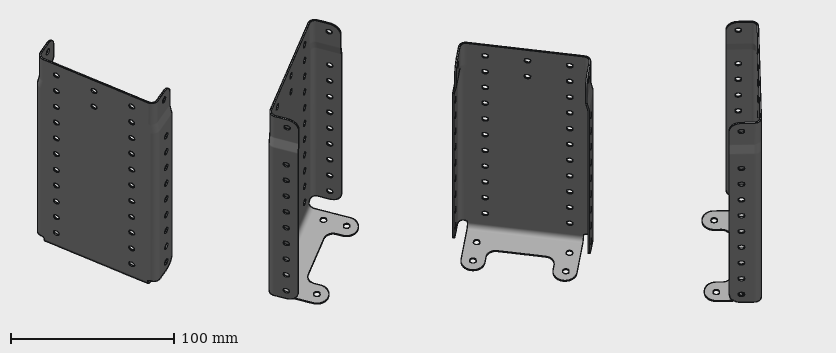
import cadquery as cq
import math

WIDTH = 85.0
DEPTH = 35.0
HEIGHT = 175.0
SHEET = 1.0
BEND_INNER_R = 3.5
BEND_OUTER_R = BEND_INNER_R + SHEET

WALL_DEPTH = 20.0
WALL_BOTTOM = 6.5
WALL_CORNER_R = 7.5
STEP_IN = 1.5
STEP_TOP = HEIGHT - 20.3
STEP_BOTTOM = HEIGHT - 27.6
STEP_ANGLE = math.atan2(STEP_IN, STEP_TOP - STEP_BOTTOM)

FLANGE_WIDTH = 72.0
EAR_WIDTH = 14.9
EAR_R = EAR_WIDTH / 2
NOTCH_FLOOR = 17.5
NOTCH_R = 6.0
RELIEF_R = 2.0

HOLE_D = 4.0
BASE_ROWS = 11
BASE_ROW_SPAN = 150.0
HOLE_PITCH = BASE_ROW_SPAN / (BASE_ROWS - 1)
BASE_TOP_ROW = HEIGHT - 10.0
BASE_COLUMN_SPAN = 52.5
COLUMN_FROM_LEFT_WALL = 15.0
BASE_LEFT_COLUMN = COLUMN_FROM_LEFT_WALL - WIDTH / 2
MIDDLE_COLUMN_ROWS = 2
WALL_ROWS = 9
WALL_HOLE_Y = 12.5
WALL_LOWEST_HOLE = WALL_BOTTOM + WALL_CORNER_R
WALL_TOP_HOLE = HEIGHT - WALL_CORNER_R
FLANGE_HOLE_XS = (-29.0, 28.5)
FLANGE_ROWS = 2


def rounded_body(inset, bottom, top, upper_r, lower_r, corner_r):
    """Solid block bounded by the stepped wall faces, `inset` inside the outer sheet surface."""
    wide = WIDTH / 2 - inset
    narrow = wide - STEP_IN
    kink_shift = inset * math.tan(STEP_ANGLE / 2)
    upper_kink = STEP_TOP - kink_shift
    lower_kink = STEP_BOTTOM - kink_shift
    half_outline = [(wide, bottom), (wide, lower_kink), (narrow, upper_kink), (narrow, top)]
    mirrored = [(-x, z) for x, z in reversed(half_outline)]
    body = (
        cq.Workplane("XZ", origin=(0, inset, 0))
        .polyline(half_outline + mirrored)
        .close()
        .extrude(-(WALL_DEPTH - inset))
    )
    for kink_z, radius in ((upper_kink, upper_r), (lower_kink, lower_r)):
        slab = cq.selectors.BoxSelector(
            (-WIDTH, -DEPTH, kink_z - SHEET), (WIDTH, DEPTH, kink_z + SHEET)
        )
        body = body.edges("|Y").edges(slab).fillet(radius)
    return body.faces("<Y").edges("not(<Z or >Z)").fillet(corner_r)


def make_tray():
    """Base sheet with both bent side walls."""
    outside = rounded_body(0, WALL_BOTTOM, HEIGHT, BEND_INNER_R, BEND_OUTER_R, BEND_OUTER_R)
    inside = rounded_body(
        SHEET, WALL_BOTTOM - SHEET, HEIGHT + SHEET, BEND_OUTER_R, BEND_INNER_R, BEND_INNER_R
    )
    tray = outside.cut(inside)
    free_corners = cq.selectors.BoxSelector(
        (-WIDTH, WALL_DEPTH - SHEET, 0), (WIDTH, WALL_DEPTH + SHEET, HEIGHT + SHEET)
    )
    return tray.edges("|X").edges(free_corners).fillet(WALL_CORNER_R)


def make_flange():
    """Bottom flange bent back from the base, with a wide notch between two ears."""
    bend = (
        cq.Workplane("YZ", origin=(-FLANGE_WIDTH / 2, 0, 0))
        .moveTo(0, WALL_BOTTOM)
        .lineTo(0, BEND_OUTER_R)
        .radiusArc((BEND_OUTER_R, 0), -BEND_OUTER_R)
        .lineTo(DEPTH, 0)
        .lineTo(DEPTH, SHEET)
        .lineTo(BEND_OUTER_R, SHEET)
        .radiusArc((SHEET, BEND_OUTER_R), BEND_INNER_R)
        .lineTo(SHEET, WALL_BOTTOM)
        .close()
        .extrude(FLANGE_WIDTH)
    )
    half_width = FLANGE_WIDTH / 2
    ear_inner = half_width - EAR_WIDTH
    ear_shoulder = DEPTH - EAR_R
    plan = (
        cq.Workplane("XY")
        .moveTo(0, 0)
        .lineTo(half_width, 0)
        .lineTo(half_width, ear_shoulder)
        .threePointArc((half_width - EAR_R, DEPTH), (ear_inner, ear_shoulder))
        .lineTo(ear_inner, NOTCH_FLOOR + NOTCH_R)
        .radiusArc((ear_inner - NOTCH_R, NOTCH_FLOOR), NOTCH_R)
        .lineTo(0, NOTCH_FLOOR)
        .mirrorY()
        .extrude(WALL_BOTTOM)
    )
    return bend.intersect(plan)


def round_reliefs(body):
    """Round the inside corners between the base and the narrower flange."""
    corners = cq.selectors.BoxSelector(
        (-FLANGE_WIDTH / 2 - SHEET, -SHEET, WALL_BOTTOM - SHEET),
        (FLANGE_WIDTH / 2 + SHEET, 2 * SHEET, WALL_BOTTOM + SHEET),
    )
    return body.edges("|Y").edges(corners).fillet(RELIEF_R)


def base_holes():
    """Two full columns of holes, with a short column midway between them at the top."""
    points = []
    for row in range(BASE_ROWS):
        z = BASE_TOP_ROW - row * HOLE_PITCH
        points.append((BASE_LEFT_COLUMN, z))
        points.append((BASE_LEFT_COLUMN + BASE_COLUMN_SPAN, z))
        if row < MIDDLE_COLUMN_ROWS:
            points.append((BASE_LEFT_COLUMN + BASE_COLUMN_SPAN / 2, z))
    return cq.Workplane("XZ").pushPoints(points).circle(HOLE_D / 2).extrude(2 * SHEET, both=True)


def wall_holes():
    """A row of holes through both walls, plus one above the step."""
    heights = [WALL_LOWEST_HOLE + row * HOLE_PITCH for row in range(WALL_ROWS)]
    heights.append(WALL_TOP_HOLE)
    points = [(WALL_HOLE_Y, z) for z in heights]
    return cq.Workplane("YZ").pushPoints(points).circle(HOLE_D / 2).extrude(WIDTH, both=True)


def flange_holes():
    """Two holes below each ear tip."""
    outer_row = DEPTH - EAR_R
    row_ys = [outer_row - row * HOLE_PITCH for row in range(FLANGE_ROWS)]
    points = [(x, y) for x in FLANGE_HOLE_XS for y in row_ys]
    return cq.Workplane("XY").pushPoints(points).circle(HOLE_D / 2).extrude(2 * SHEET, both=True)


sheet_metal = round_reliefs(make_tray().union(make_flange()))
result = sheet_metal.cut(base_holes()).cut(wall_holes()).cut(flange_holes())